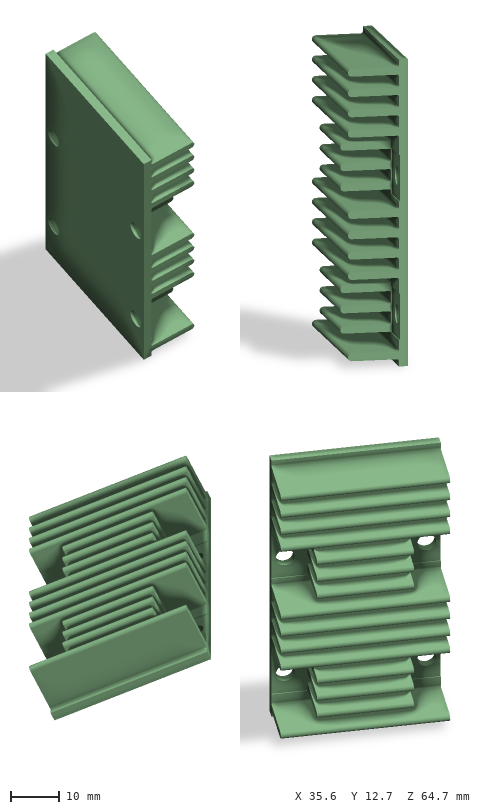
import cadquery as cq

plate_width = 35.56
plate_height = 64.65
plate_thickness = 1.95
overall_depth = 12.7

fin_count = 15
fin_pitch = 4.285
fin_thickness = 1.6
fin_root_radius = 0.4
fin_tip_radius = fin_thickness / 2

hole_diameter = 3.9
hole_spacing_x = 29.72
hole_spacing_z = 29.2
hole_centre_z = -7.2

clearance_width = 7.6
seat_height = 9.8
seat_depth = 0.2
cut_fin_groups = ((4, 5, 6), (11, 12, 13))

side_x = plate_width / 2
hole_rows = (hole_centre_z + hole_spacing_z / 2, hole_centre_z - hole_spacing_z / 2)


def fin_z(index):
    """Mid-height of a fin, counted from the top."""
    return ((fin_count - 1) / 2 - index) * fin_pitch


def box(x_min, x_max, y_min, y_max, z_min, z_max):
    """Axis-aligned block between the given limits."""
    block = cq.Workplane("XY").box(x_max - x_min, y_max - y_min, z_max - z_min, centered=False)
    return block.translate((x_min, y_min, z_min))


def make_fin(z):
    """Fin profile with concave root fillets and a round tip, extruded across the plate."""
    half = fin_thickness / 2
    root_half = half + fin_root_radius
    root_y = plate_thickness + fin_root_radius
    round_start_y = overall_depth - fin_tip_radius
    fillet_offset = fin_root_radius * (1 - 0.5**0.5)
    fillet_mid_y = plate_thickness + fillet_offset
    fillet_mid_z = half + fillet_offset
    profile = (
        cq.Workplane("YZ", origin=(-side_x, 0, z))
        .moveTo(0, -root_half)
        .lineTo(plate_thickness, -root_half)
        .threePointArc((fillet_mid_y, -fillet_mid_z), (root_y, -half))
        .lineTo(round_start_y, -half)
        .threePointArc((overall_depth, 0), (round_start_y, half))
        .lineTo(root_y, half)
        .threePointArc((fillet_mid_y, fillet_mid_z), (plate_thickness, root_half))
        .lineTo(0, root_half)
        .close()
    )
    return profile.extrude(plate_width)


def make_heatsink_blank():
    """Plate with all fins at full width."""
    blank = box(-side_x, side_x, 0, plate_thickness, -plate_height / 2, plate_height / 2)
    for index in range(fin_count):
        blank = blank.union(make_fin(fin_z(index)))
    return blank


def cut_hole_clearance(body, fin_group, hole_z):
    """Cut the fins back at both sides of one hole row and sink the seats into the plate."""
    fins_top = fin_z(fin_group[0]) + fin_pitch / 2
    fins_bottom = fin_z(fin_group[-1]) - fin_pitch / 2
    seat_top = hole_z + seat_height / 2
    seat_bottom = hole_z - seat_height / 2
    seat_y = plate_thickness - seat_depth
    inner_x = side_x - clearance_width
    for x_min, x_max in ((-side_x, -inner_x), (inner_x, side_x)):
        body = body.cut(box(x_min, x_max, plate_thickness, overall_depth, fins_bottom, fins_top))
        body = body.cut(box(x_min, x_max, seat_y, overall_depth, seat_bottom, seat_top))
    return body


def drill_mounting_holes(body):
    """Drill the four through holes."""
    centres = [(x, z) for x in (-hole_spacing_x / 2, hole_spacing_x / 2) for z in hole_rows]
    drills = cq.Workplane("XZ").pushPoints(centres).circle(hole_diameter / 2).extrude(-overall_depth)
    return body.cut(drills)


result = make_heatsink_blank()
for group, row_z in zip(cut_fin_groups, hole_rows):
    result = cut_hole_clearance(result, group, row_z)
result = drill_mounting_holes(result)